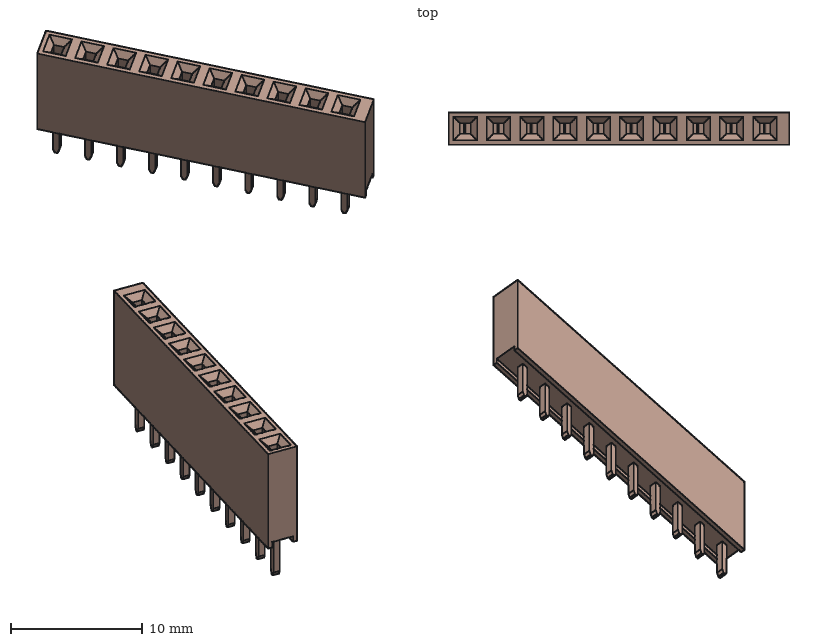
import cadquery as cq

body_length = 26.0
body_depth = 2.47
total_height = 11.88
pin_reach = 3.33
body_height = total_height - pin_reach

contact_count = 10
first_contact_offset = 1.22
row_span = 22.85
pitch = row_span / (contact_count - 1)
first_contact_x = first_contact_offset - body_length / 2
contact_positions = [(first_contact_x + i * pitch, 0) for i in range(contact_count)]
socket_shift = 0.05

foot_thickness = 0.35
channel_height = 0.5
channel_width = body_depth - 2 * foot_thickness
channel_top = pin_reach + channel_height

mouth_size = 1.8
mouth_depth = 0.5
socket_size = 0.8
socket_depth = 5.98
socket_floor = total_height - socket_depth

leaf_gap = 0.1
leaf_radius = 0.23
leaf_top_depth = 1.7
leaf_arc_height = total_height - leaf_top_depth - leaf_radius
leaf_center = leaf_gap / 2 + leaf_radius

pin_width = 0.5
pin_thickness = 0.55
tip_width = 0.2
tip_height = 0.35


def make_body():
    body = cq.Workplane("XY", origin=(0, 0, pin_reach)).box(
        body_length, body_depth, body_height, centered=(True, True, False)
    )
    channel = cq.Workplane("XY", origin=(0, 0, pin_reach)).box(
        body_length, channel_width, channel_height, centered=(True, True, False)
    )
    return body.cut(channel)


def make_socket():
    """Empty space of one socket: tapered mouth above a square hole."""
    mouth = (
        cq.Workplane("XY", origin=(0, 0, total_height))
        .center(socket_shift, 0)
        .rect(mouth_size, mouth_size)
        .workplane(offset=-mouth_depth)
        .rect(socket_size, socket_size)
        .loft(ruled=True)
    )
    hole = cq.Workplane("XY", origin=(socket_shift, 0, socket_floor)).box(
        socket_size, socket_size, socket_depth - mouth_depth, centered=(True, True, False)
    )
    return mouth.union(hole)


def make_leaf(side):
    """Spring leaf on the -X (side = -1) or +X (side = 1) wall, rounded on top."""
    inner = side * leaf_gap / 2
    outer = side * (leaf_gap / 2 + 2 * leaf_radius)
    return (
        cq.Workplane("XZ")
        .moveTo(inner, socket_floor)
        .lineTo(inner, leaf_arc_height)
        .threePointArc((side * leaf_center, leaf_arc_height + leaf_radius), (outer, leaf_arc_height))
        .lineTo(outer, socket_floor)
        .close()
        .extrude(socket_size / 2, both=True)
    )


def make_pin():
    """Flat pin whose tip narrows along X only."""
    half_width = pin_width / 2
    half_tip = tip_width / 2
    outline = [
        (-half_width, channel_top),
        (-half_width, tip_height),
        (-half_tip, 0),
        (half_tip, 0),
        (half_width, tip_height),
        (half_width, channel_top),
    ]
    return cq.Workplane("XZ").polyline(outline).close().extrude(pin_thickness / 2, both=True)


def repeat_along_row(shape):
    return cq.Workplane("XY").pushPoints(contact_positions).eachpoint(shape.val(), combine=False)


socket_space = make_socket().cut(make_leaf(-1)).cut(make_leaf(1))

result = make_body().cut(repeat_along_row(socket_space)).union(repeat_along_row(make_pin()))